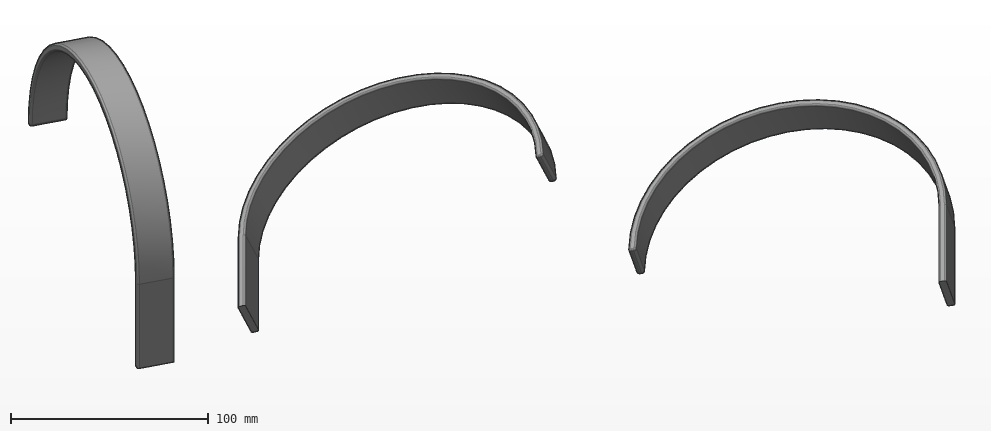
import cadquery as cq

outer_radius = 82.5
width = 20.0
thickness = width / 5
leg_length = 50.0
side_edge_radius = 1.0
free_end_radius = 1.5

inner_radius = outer_radius - thickness

band = (
    cq.Workplane("XZ", origin=(0, width / 2, 0))
    .moveTo(-outer_radius, 0)
    .threePointArc((0, outer_radius), (outer_radius, 0))
    .lineTo(outer_radius, -leg_length)
    .lineTo(inner_radius, -leg_length)
    .lineTo(inner_radius, 0)
    .threePointArc((0, inner_radius), (-inner_radius, 0))
    .close()
    .extrude(width)
)

free_end_edges = band.faces("|Z").faces(">Z").edges("|Y")
band = free_end_edges.fillet(free_end_radius)

side_edges = band.faces("<Y or >Y").edges("not(<Z)")
result = side_edges.fillet(side_edge_radius)